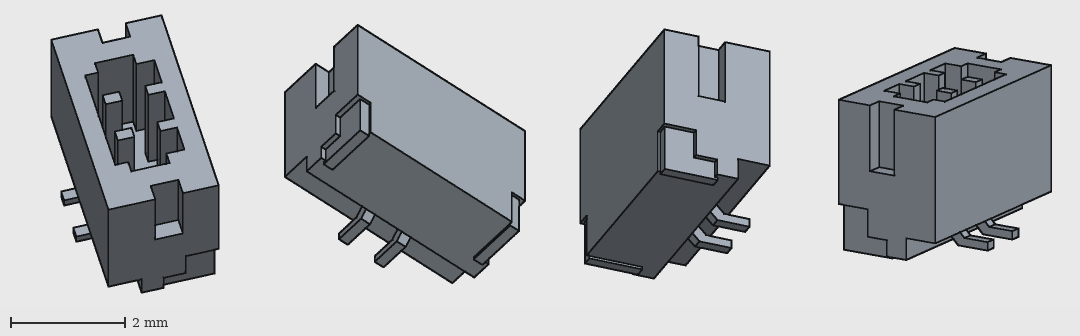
import cadquery as cq

length = 3.8
depth = 2.0
total_height = 2.75
standoff = 0.05
front = -depth / 2
back = depth / 2

front_step_depth = 0.6
front_step_top = 0.45
foot_front = front + front_step_depth

recess_top = 0.85
recess_depth = 0.6
recess_low_top = 0.35
recess_low_depth = 1.0
tab_side_inset = 0.1
tab_back_inset = 0.05
tab_thickness = 0.2
tab_sole_depth = 1.053
recess_width = tab_side_inset + tab_thickness

slot_width = 0.5
slot_inset = 0.3
slot_height = 1.2
slot_back = back - 0.65

cavity_width = 2.0
cavity_back = back - 0.375
cavity_front = back - 1.63
cavity_depth = 2.0
wide_width = 2.415
wide_back = back - 0.703
wide_front = back - 1.395
cavity_floor = total_height - cavity_depth

contact_pitch = 0.81
contact_width = 0.2
rib_length = 0.3
pin_depth = 0.3
pin_back = back - 1.148
tail_overhang = 0.2
tail_thickness = 0.155
tail_upper_bend = 0.323
tail_lower_bend = 0.195


def block(x0, x1, y0, y1, z0, z1):
    """Box spanning the given limits along each axis."""
    return cq.Workplane("XY").box(x1 - x0, y1 - y0, z1 - z0, centered=False).translate((x0, y0, z0))


def side_profile(points, x0, width):
    """Extrude a closed (Y, Z) outline along +X from x0."""
    return cq.Workplane("YZ").polyline(points).close().extrude(width).translate((x0, 0, 0))


def stepped_outline(y_back, z_bottom):
    """Outline shared by the corner recess and its solder tab."""
    return [
        (y_back, z_bottom),
        (y_back, recess_top),
        (back - recess_depth, recess_top),
        (back - recess_depth, recess_low_top),
        (back - recess_low_depth, recess_low_top),
        (back - recess_low_depth, z_bottom),
    ]


def centred_block(width, y0, y1, z0, z1, x=0):
    """Block of the given width centred on x."""
    return block(x - width / 2, x + width / 2, y0, y1, z0, z1)


def make_housing():
    body = centred_block(length, front, back, standoff, total_height)
    body = body.cut(centred_block(length, front, foot_front, standoff, front_step_top))
    cavity = centred_block(cavity_width, cavity_front, cavity_back, cavity_floor, total_height)
    cavity = cavity.union(centred_block(wide_width, wide_front, wide_back, cavity_floor, total_height))
    body = body.cut(cavity)
    left = -length / 2
    slot = block(left, left + slot_inset, slot_back - slot_width, slot_back,
                 total_height - slot_height, total_height)
    recess = side_profile(stepped_outline(back, standoff), left, recess_width)
    for cutter in (slot, recess):
        body = body.cut(cutter).cut(cutter.mirror("YZ"))
    return body


def make_left_tab():
    x0 = -length / 2 + tab_side_inset
    y_back = back - tab_back_inset
    tab = side_profile(stepped_outline(y_back, 0), x0, tab_thickness)
    sole = block(x0, x0 + tab_thickness, back - tab_sole_depth, y_back, 0, standoff)
    return tab.union(sole)


def make_contact(x):
    """Upright pin, polarising rib and 45-degree gull-wing tail at one contact position."""
    pin = centred_block(contact_width, pin_back - pin_depth, pin_back, cavity_floor, total_height, x)
    rib = centred_block(contact_width, cavity_back - rib_length, cavity_back, cavity_floor, total_height, x)
    tail_end = front - tail_overhang
    upper_bend = foot_front - tail_upper_bend
    lower_bend = foot_front - tail_lower_bend
    upper_run = front_step_top - tail_thickness
    tail = side_profile(
        [
            (tail_end, 0),
            (tail_end, tail_thickness),
            (upper_bend, tail_thickness),
            (upper_bend + upper_run, front_step_top),
            (foot_front, front_step_top),
            (foot_front, tail_lower_bend),
            (lower_bend, 0),
        ],
        x - contact_width / 2,
        contact_width,
    )
    return pin.union(rib).union(tail)


left_tab = make_left_tab()
result = make_housing().union(left_tab).union(left_tab.mirror("YZ"))
for contact_x in (-contact_pitch / 2, contact_pitch / 2):
    result = result.union(make_contact(contact_x))